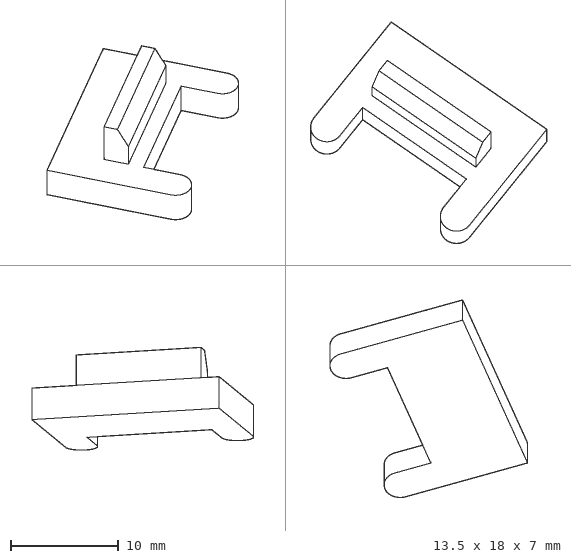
import cadquery as cq

length_x = 13.5
width_y = 18.0
height_z = 7.0
plate_thickness = 3.0
arm_width = 3.0
web_length = 8.46

rib_offset = 4.63
rib_thickness = 2.35
rib_top_thickness = 1.3
rib_bevel_drop = 1.84

arm_radius = arm_width / 2
gap_width = width_y - 2 * arm_width
arm_center_x = length_x - arm_radius
arm_center_y = (width_y - arm_width) / 2


def make_arm(center_y):
    """Straight arm running the full plate length, ending in a half round."""
    bar = (
        cq.Workplane("XY")
        .center(arm_center_x / 2, center_y)
        .rect(arm_center_x, arm_width)
        .extrude(plate_thickness)
    )
    tip = (
        cq.Workplane("XY")
        .center(arm_center_x, center_y)
        .circle(arm_radius)
        .extrude(plate_thickness)
    )
    return bar.union(tip)


def make_web():
    """Plate portion that joins the two arms."""
    return (
        cq.Workplane("XY")
        .center(web_length / 2, 0)
        .rect(web_length, width_y)
        .extrude(plate_thickness)
    )


def make_rib():
    """Upright rib with a bevel on its arm-side top edge."""
    rib_end = rib_offset + rib_thickness
    profile = [
        (rib_offset, 0),
        (rib_end, 0),
        (rib_end, height_z - rib_bevel_drop),
        (rib_offset + rib_top_thickness, height_z),
        (rib_offset, height_z),
    ]
    return (
        cq.Workplane("XZ")
        .polyline(profile)
        .close()
        .extrude(gap_width / 2, both=True)
    )


result = make_web()
for side in (-1, 1):
    result = result.union(make_arm(side * arm_center_y))
result = result.union(make_rib()).clean()